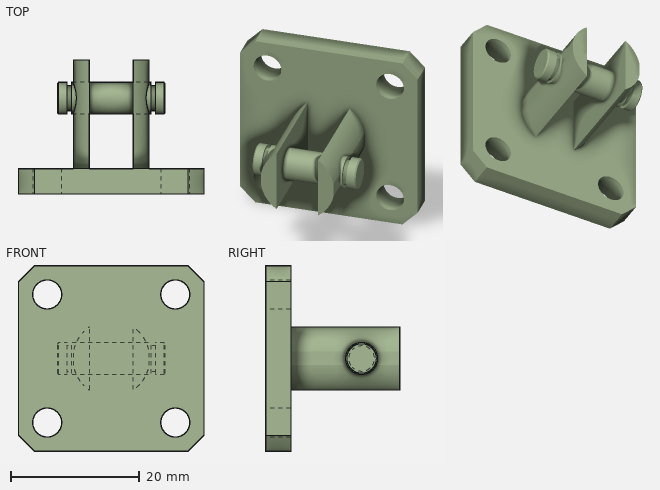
import cadquery as cq

plate_size = 29.0
plate_thickness = 4.0
plate_corner_chamfer = 2.5
mount_hole_diameter = 4.5
mount_hole_spacing = 20.0

boss_diameter = 12.0
lug_gap = 6.8
lug_thickness = 2.5
lug_length = 17.0
lug_outer_width = lug_gap + 2 * lug_thickness
lug_end = plate_thickness + lug_length

pin_diameter = 5.0
pin_length = 16.8
pin_end_chamfer = 0.2
pin_to_lug_end = 6.0
pin_y = lug_end - pin_to_lug_end
groove_diameter = 4.0
groove_width = 0.7
groove_to_pin_end = 1.5


def cylinder_along_x(diameter, length, center_x=0.0):
    """Cylinder on the pin axis, centred at center_x."""
    return (
        cq.Workplane("YZ", origin=(center_x - length / 2, pin_y, 0))
        .circle(diameter / 2)
        .extrude(length)
    )


def make_plate():
    """Square plate with cut corners and four mounting holes."""
    plate = (
        cq.Workplane("XY")
        .box(plate_size, plate_thickness, plate_size, centered=(True, False, True))
        .edges("|Y")
        .chamfer(plate_corner_chamfer)
    )
    return (
        plate.faces("<Y")
        .workplane(centerOption="CenterOfBoundBox")
        .rect(mount_hole_spacing, mount_hole_spacing, forConstruction=True)
        .vertices()
        .hole(mount_hole_diameter)
    )


def lug_slab(width):
    """Block centred on X = 0 that spans the lugs' length and the boss height."""
    return (
        cq.Workplane("XY", origin=(0, plate_thickness, 0))
        .box(width, lug_length, boss_diameter, centered=(True, False, True))
    )


def make_lugs():
    """Two lugs left from the round boss by the slot and the outer flats."""
    boss = (
        cq.Workplane("XZ", origin=(0, plate_thickness, 0))
        .circle(boss_diameter / 2)
        .extrude(-lug_length)
    )
    return boss.intersect(lug_slab(lug_outer_width)).cut(lug_slab(lug_gap))


def make_bracket():
    """Plate and lugs as one body, bored for the pin."""
    pin_bore = cylinder_along_x(pin_diameter, pin_length)
    return make_plate().union(make_lugs()).cut(pin_bore)


def make_pin():
    """Chamfered pin with a groove at each end."""
    pin = cylinder_along_x(pin_diameter, pin_length).faces("<X or >X").chamfer(pin_end_chamfer)
    groove_center = pin_length / 2 - groove_to_pin_end - groove_width / 2
    for side in (-1, 1):
        outer = cylinder_along_x(pin_diameter, groove_width, side * groove_center)
        core = cylinder_along_x(groove_diameter, groove_width, side * groove_center)
        pin = pin.cut(outer.cut(core))
    return pin


bracket = make_bracket()
pin = make_pin()

result = cq.Compound.makeCompound([bracket.solids().val(), pin.solids().val()])